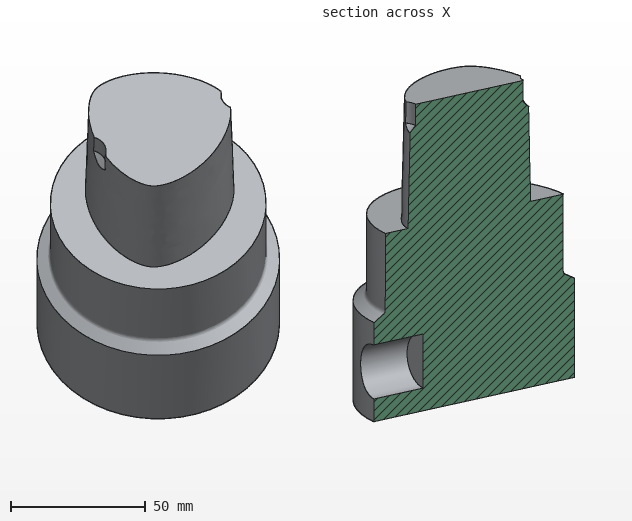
import cadquery as cq
import math

total_height = 121
base_diameter = 90.0
base_height = 39.0
collar_diameter = 80.0
collar_top = 73.0
shoulder_angle = 30
shoulder_fillet = 1.5

shank_bottom_width = 55.2
shank_top_width = 52.8
lobe_amplitude = 2.2
lobe_count = 3
points_per_outline = 48

notch_radius = 6.9
notch_depth = 2.2
notch_wall_height = 8.3
notch_point_angle = 90

side_hole_diameter = 21.0
side_hole_depth = 22.0
side_hole_height = 19.6

base_radius = base_diameter / 2
collar_radius = collar_diameter / 2
shoulder_rise = (base_radius - collar_radius) * math.tan(math.radians(shoulder_angle))
shoulder_top = base_height + shoulder_rise


def make_body():
    """Revolved base, conical shoulder and collar."""
    profile = [
        (0, 0),
        (base_radius, 0),
        (base_radius, base_height),
        (collar_radius, shoulder_top),
        (collar_radius, collar_top),
        (0, collar_top),
    ]
    body = cq.Workplane("XZ").polyline(profile).close().revolve(360, (0, 0, 0), (0, 1, 0))
    shoulder_edge = cq.selectors.NearestToPointSelector((0, 0, shoulder_top))
    return body.edges("%CIRCLE").edges(shoulder_edge).fillet(shoulder_fillet)


def lobed_point(width, turn):
    """Point of a constant-width rounded triangle with one lobe toward +Y.

    The distance from the axis to the tangent line is width / 2 + amplitude * cos(3 * turn).
    """
    reach = width / 2 + lobe_amplitude * math.cos(lobe_count * turn)
    slide = -lobe_count * lobe_amplitude * math.sin(lobe_count * turn)
    along_lobe = reach * math.cos(turn) - slide * math.sin(turn)
    across_lobe = reach * math.sin(turn) + slide * math.cos(turn)
    return (-across_lobe, along_lobe)


def lobed_outline(width):
    step = 2 * math.pi / points_per_outline
    return [lobed_point(width, i * step) for i in range(points_per_outline)]


def make_shank():
    """Lobed shank tapering upward from the collar."""
    return (
        cq.Workplane("XY")
        .workplane(offset=collar_top)
        .spline(lobed_outline(shank_bottom_width), periodic=True)
        .close()
        .workplane(offset=total_height - collar_top)
        .spline(lobed_outline(shank_top_width), periodic=True)
        .close()
        .loft(combine=True)
    )


def make_notch(axis_y):
    """Vertical drill-shaped cutter with a conical point."""
    wall_bottom = total_height - notch_wall_height
    point_length = notch_radius / math.tan(math.radians(notch_point_angle / 2))
    profile = [
        (0, wall_bottom - point_length),
        (notch_radius, wall_bottom),
        (notch_radius, total_height),
        (0, total_height),
    ]
    cutter = cq.Workplane("XZ").polyline(profile).close().revolve(360, (0, 0, 0), (0, 1, 0))
    return cutter.translate((0, axis_y, 0))


def make_side_hole():
    """Blind radial hole entering the base from +Y."""
    return (
        cq.Workplane("XZ", origin=(0, base_radius, side_hole_height))
        .circle(side_hole_diameter / 2)
        .extrude(side_hole_depth)
    )


result = make_body().union(make_shank())
notch_offset = notch_radius - notch_depth
lobe_tip_y = shank_top_width / 2 + lobe_amplitude
flat_side_y = -shank_top_width / 2 + lobe_amplitude
for notch_axis_y in (lobe_tip_y + notch_offset, flat_side_y - notch_offset):
    result = result.cut(make_notch(notch_axis_y))
result = result.cut(make_side_hole())